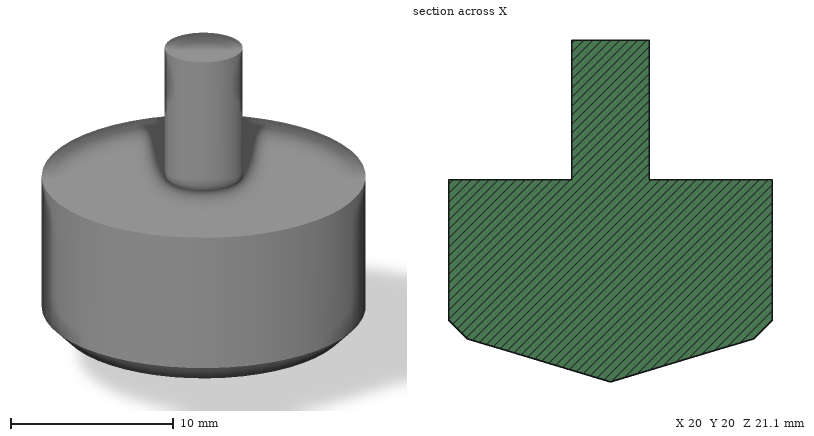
import cadquery as cq

total_height = 21.1
body_diameter = 20.0
stud_diameter = 4.81

stud_length = 8.59
tip_height = 2.65
bevel = 1.15

body_radius = body_diameter / 2
stud_radius = stud_diameter / 2
shoulder_z = total_height - stud_length

profile = [
    (0, 0),
    (body_radius - bevel, tip_height),
    (body_radius, tip_height + bevel),
    (body_radius, shoulder_z),
    (stud_radius, shoulder_z),
    (stud_radius, total_height),
    (0, total_height),
]

result = cq.Workplane("XZ").polyline(profile).close().revolve(360, (0, 0, 0), (0, 1, 0))